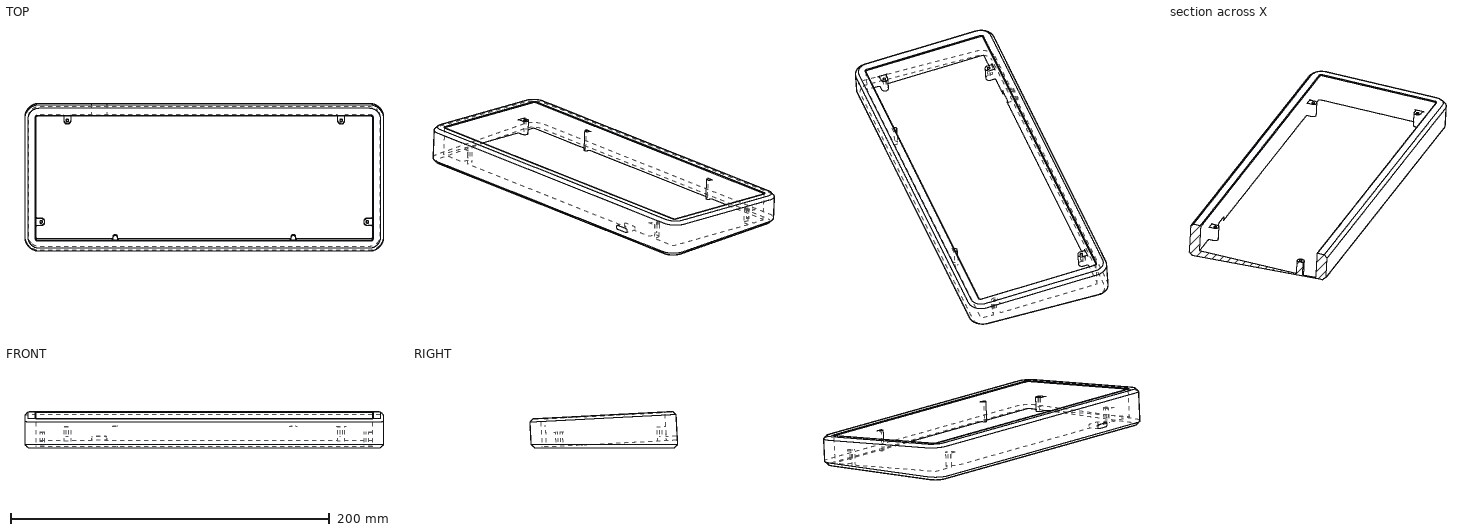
import cadquery as cq
import math

case_length = 225.3
case_width = 91.95
tilt = 3.0
front_height = 18.25
corner_radius = 9.0
rim_chamfer = 2.0
base_chamfer = 2.2

wall = 7.0
cavity_depth = 18.05
cavity_corner_radius = 1.0
mouth_chamfer = 0.5
strip_height = 1.0

post_fillet = 0.8
post_root = 1.0
screw_post_depth = 9.2
screw_post_radius = 2.2
screw_hole = 1.6
screw_depth = 6.0
screw_inset = 3.3
back_post_x = 85.9
side_post_y = -28.1
rest_depth = 5.0
rest_radius = 1.45
rest_inset = 1.2
rest_x = 55.9

slot_length = 9.8
slot_height = 2.6
slot_x = -65.9

cavity_length = case_length - 2 * wall
cavity_width = case_width - 2 * wall
sin_tilt = math.sin(math.radians(tilt))
cos_tilt = math.cos(math.radians(tilt))
rim_height = (front_height + case_width / 2 * sin_tilt) / cos_tilt
rim_normal = cq.Vector(0, -sin_tilt, cos_tilt)
square_to_rim = cq.selectors.ParallelDirSelector(rim_normal)
rim_face = cq.selectors.DirectionMinMaxSelector(rim_normal)


def tilted_plane(depth):
    """Workplane parallel to the rim, the given depth below it; its y axis runs up the slope."""
    return cq.Workplane(cq.Plane(rim_normal * (rim_height - depth), (1, 0, 0), rim_normal))


def above_level(height):
    """Everything above a level plane, large enough to cover the case."""
    return cq.Workplane("XY", origin=(0, 0, height)).rect(2 * case_length, 2 * case_width).extrude(case_width)


def make_body():
    """Solid case, cut level at the base and bevelled along the rim and the base."""
    block = tilted_plane(0).rect(case_length, case_width).extrude(-2 * rim_height)
    block = block.edges(square_to_rim).fillet(corner_radius)
    block = block.intersect(above_level(0))
    block = block.faces(rim_face).chamfer(rim_chamfer)
    return block.faces("<Z").chamfer(base_chamfer)


def hollow(body):
    """Cut the cavity and bevel the edge of its mouth."""
    cavity = tilted_plane(cavity_depth).rect(cavity_length, cavity_width).extrude(cavity_depth)
    cavity = cavity.edges(square_to_rim).fillet(cavity_corner_radius)
    body = body.cut(cavity.intersect(above_level(strip_height)))
    mouth = body.faces(rim_face).val().innerWires()[0]
    return body.newObject(mouth.Edges()).chamfer(mouth_chamfer)


def make_post(wall_x, wall_y, turn, top_depth, radius, inset):
    """Round-ended post rooted in the wall at (wall_x, wall_y); unturned, it points along +Y."""
    flare = radius + post_fillet
    arc_in = post_fillet * (1 - math.sqrt(0.5))
    return (
        tilted_plane(cavity_depth)
        .transformed(offset=(wall_x, wall_y, 0), rotate=(0, 0, turn))
        .moveTo(-flare, -post_root)
        .lineTo(-flare, 0)
        .threePointArc((-radius - arc_in, arc_in), (-radius, post_fillet))
        .lineTo(-radius, inset)
        .threePointArc((0, inset + radius), (radius, inset))
        .lineTo(radius, post_fillet)
        .threePointArc((radius + arc_in, arc_in), (flare, 0))
        .lineTo(flare, -post_root)
        .close()
        .extrude(cavity_depth - top_depth)
    )


def add_posts(body):
    """Add two screw posts at the back, one on each side, and two taller rests at the front."""
    back_wall_y = cavity_width / 2
    side_wall_x = cavity_length / 2
    screw_post = (screw_post_depth, screw_post_radius, screw_inset)
    screw_points = []
    for side in (-1, 1):
        back = make_post(side * back_post_x, back_wall_y, 180, *screw_post)
        flank = make_post(side * side_wall_x, side_post_y, side * 90, *screw_post)
        rest = make_post(side * rest_x, -back_wall_y, 0, rest_depth, rest_radius, rest_inset)
        body = body.union(back).union(flank).union(rest)
        screw_points.append((side * back_post_x, back_wall_y - screw_inset))
        screw_points.append((side * (side_wall_x - screw_inset), side_post_y))
    holes = tilted_plane(screw_post_depth).pushPoints(screw_points).circle(screw_hole / 2)
    return body.cut(holes.extrude(-screw_depth))


def cut_cable_slot(body):
    """Round-ended slot cut outwards, parallel to the floor, through the back wall."""
    floor_plane = tilted_plane(cavity_depth).plane
    centre = floor_plane.toWorldCoords((slot_x, cavity_width / 2, slot_height / 2))
    outwards = floor_plane.yDir
    slot = cq.Workplane(cq.Plane(centre, (-1, 0, 0), outwards)).slot2D(slot_length, slot_height)
    return body.cut(slot.extrude(2 * wall))


result = cut_cable_slot(add_posts(hollow(make_body())))